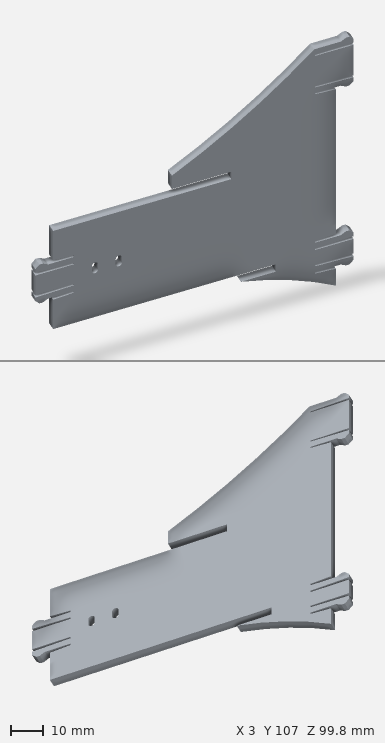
import cadquery as cq
import math

thickness = 3.0
length = 107.0
height = 99.8

clip_reach = 6.0
clip_slot_depth = 13.0
arm_thickness = 2.4
gap_flare = 0.4
hook_height = 1.0
hook_chamfer = 1.4
hook_crest_end = 2.6
hook_ramp_end = 4.3

upper_tab_half = 6.2
upper_gap = 0.4
lower_tab_half = 3.0
beam_tab_half = 4.0
standard_gap = 0.6

beam_height = 40.0
beam_center_z = -14.1
upper_slot_end_y = 12.4
lower_slot_end_y = 27.4

shoulder_y = 40.2
upper_wing_tip_y = -7.6
upper_wing_tip_height = 5.5
upper_wing_sag = 1.8
lower_wing_tip_y = 15.6
lower_wing_sag = 1.4

hole_width = 2.1
hole_height = 4.3
hole_spacing = 8.0
hole_pair_y = -29.4

top_z = height / 2
bottom_z = -height / 2
back_tip_y = length / 2
front_tip_y = -length / 2
back_edge_y = back_tip_y - clip_reach
front_edge_y = front_tip_y + clip_reach
beam_top_z = beam_center_z + beam_height / 2
beam_bottom_z = beam_center_z - beam_height / 2
upper_outer_half = upper_tab_half + upper_gap + arm_thickness
upper_clip_z = top_z - hook_height - upper_outer_half
shoulder_z = top_z - hook_height
lower_clip_z = -36.0


def half_clip(tab_half, gap):
    """(depth behind the tip, offset from the clip axis), from arm root to tab corner."""
    inner = tab_half + gap
    outer = inner + arm_thickness
    crest = outer + hook_height
    return [
        (clip_slot_depth, outer),
        (hook_ramp_end, outer),
        (hook_crest_end, crest),
        (hook_chamfer, crest),
        (0, crest - hook_chamfer),
        (0, inner + gap_flare),
        (clip_slot_depth, inner),
        (clip_slot_depth, tab_half),
        (0, tab_half),
    ]


def relief(tab_half, gap):
    """Tapered slot wall in the plate, outside an arm, from plate edge to root."""
    root = tab_half + 2 * gap + arm_thickness
    return [(clip_reach, root + gap_flare), (clip_slot_depth, root)]


def place(points, tip_y, axis_z, outward):
    """Map clip points to (y, z); outward is +1 or -1 along Y.

    Positive offsets lie on the +Z side for the -Y clip and on the -Z side for
    the +Y clip, so every clip runs the same way around the plate.
    """
    return [(tip_y - outward * depth, axis_z - outward * offset) for depth, offset in points]


def clip(tab_half, gap, tip_y, axis_z, outward):
    first_half = relief(tab_half, gap) + half_clip(tab_half, gap)
    second_half = [(depth, -offset) for depth, offset in reversed(first_half)]
    return place(first_half + second_half, tip_y, axis_z, outward)


def upper_clip():
    """Clip whose upper arm runs straight into the shoulder of the plate."""
    lower_half = half_clip(upper_tab_half, upper_gap)
    upper_half = [(depth, -offset) for depth, offset in reversed(lower_half)]
    points = relief(upper_tab_half, upper_gap) + lower_half + upper_half[:-1]
    return place(points, back_tip_y, upper_clip_z, 1)


def sagged_midpoint(start, end, sag):
    """Point beside the middle of a chord, on the plate's side of it."""
    dy = end[0] - start[0]
    dz = end[1] - start[1]
    chord = math.hypot(dy, dz)
    return (
        (start[0] + end[0]) / 2 - sag * dz / chord,
        (start[1] + end[1]) / 2 + sag * dy / chord,
    )


def plate():
    shoulder = (shoulder_y, shoulder_z)
    upper_wing_z = beam_top_z + thickness
    upper_wing_tip = (upper_wing_tip_y, upper_wing_z + upper_wing_tip_height)
    lower_wing_z = beam_bottom_z - thickness
    lower_wing_tip = (lower_wing_tip_y, lower_wing_z)
    bottom_corner = (back_edge_y, bottom_z)

    beam_end = [
        (upper_wing_tip_y, upper_wing_z),
        (upper_slot_end_y, upper_wing_z),
        (upper_slot_end_y, beam_top_z),
        (front_edge_y, beam_top_z),
        *clip(beam_tab_half, standard_gap, front_tip_y, beam_center_z, -1),
        (front_edge_y, beam_bottom_z),
        (lower_slot_end_y, beam_bottom_z),
        (lower_slot_end_y, lower_wing_z),
        lower_wing_tip,
    ]
    back_clips = clip(lower_tab_half, standard_gap, back_tip_y, lower_clip_z, 1) + upper_clip()

    outline = cq.Workplane("YZ", origin=(-thickness / 2, 0, 0)).moveTo(*shoulder)
    outline = outline.threePointArc(
        sagged_midpoint(shoulder, upper_wing_tip, upper_wing_sag), upper_wing_tip
    )
    outline = outline.polyline(beam_end, includeCurrent=True)
    outline = outline.threePointArc(
        sagged_midpoint(lower_wing_tip, bottom_corner, lower_wing_sag), bottom_corner
    )
    outline = outline.polyline(back_clips, includeCurrent=True)
    return outline.close().extrude(thickness)


def beam_holes():
    return (
        cq.Workplane("YZ", origin=(-thickness, hole_pair_y, beam_center_z))
        .rarray(hole_spacing, 1.1, 2, 1)
        .slot2D(hole_height, hole_width, 90)
        .extrude(2 * thickness)
    )


result = plate().cut(beam_holes())